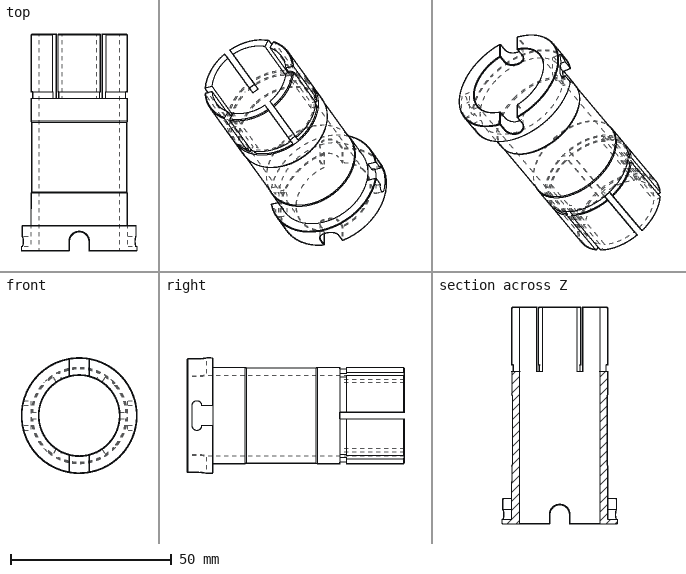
import cadquery as cq

length = 67.5
body_radius = 15.0
bore_radius = 12.5
edge_chamfer = 0.3

flange_radius = 18.0
flange_length = 8.0
flange_chamfer = 0.2

relief_depth = 0.15
relief_start = 18.0
relief_end = 40.45
relief_slope = 0.4

finger_length = 20.0
finger_slot_width = 2.0
finger_slot_angles = (0, 60, 120)
groove_width = 2.0
groove_depth = 0.5

notch_width = 6.0
notch_depth = 6.0

pocket_floor = body_radius
stem_width = 6.2
head_length = 9.2
head_width = 3.0
head_center = 3.0


def sleeve():
    """Revolved body; the front face of the flange is still sharp-edged."""
    finger_root = length - finger_length
    groove_end = finger_root + groove_width
    relief_radius = body_radius - relief_depth
    groove_radius = body_radius - groove_depth
    profile = [
        (bore_radius, 0),
        (flange_radius, 0),
        (flange_radius, flange_length - flange_chamfer),
        (flange_radius - flange_chamfer, flange_length),
        (body_radius, flange_length),
        (body_radius, relief_start),
        (relief_radius, relief_start + relief_slope),
        (relief_radius, relief_end - relief_slope),
        (body_radius, relief_end),
        (body_radius, finger_root),
        (groove_radius, finger_root),
        (groove_radius, groove_end),
        (body_radius, groove_end),
        (body_radius, length - edge_chamfer),
        (body_radius - edge_chamfer, length),
        (bore_radius, length),
    ]
    return cq.Workplane("XY").polyline(profile).close().revolve(360, (0, 0, 0), (0, 1, 0))


def finger_slots():
    """Slots across the full diameter that split the end into six fingers."""
    slots = cq.Workplane("XY")
    for angle in finger_slot_angles:
        slot = (
            cq.Workplane("XY")
            .box(2 * flange_radius, finger_length, finger_slot_width)
            .translate((0, length - finger_length / 2, 0))
            .rotate((0, 0, 0), (0, 1, 0), angle)
        )
        slots = slots.add(slot)
    return slots.combine()


def drive_notches():
    """Round-ended notch running along Z through both sides of the flange."""
    half_width = notch_width / 2
    straight_depth = notch_depth - half_width
    return (
        cq.Workplane("XY")
        .moveTo(-half_width, 0)
        .lineTo(-half_width, straight_depth)
        .threePointArc((0, notch_depth), (half_width, straight_depth))
        .lineTo(half_width, 0)
        .close()
        .extrude(flange_radius, both=True)
    )


def chamfer_flange_face(body):
    """Break the front face edges and the notch rims on the outside and in the bore."""
    margin = flange_chamfer
    notch_zone = cq.selectors.BoxSelector(
        (-notch_width / 2 - margin, -margin, -flange_radius - margin),
        (notch_width / 2 + margin, notch_depth + margin, flange_radius + margin),
    )
    notch_rims = body.edges(notch_zone).edges("not |Z")
    return body.faces("<Y").edges().add(notch_rims).chamfer(flange_chamfer)


def bayonet_pocket(side):
    """T-shaped flat-floored pocket on one side of the rim, open toward the body."""
    depth = flange_radius - pocket_floor
    stem_length = flange_length - head_center
    stem = cq.Workplane("XY").box(depth, stem_length, stem_width)
    stem = stem.translate((0, head_center + stem_length / 2, 0))
    head_straight = head_length - head_width
    head = cq.Workplane("XY").box(depth, head_width, head_straight)
    for end in (-1, 1):
        round_end = cq.Workplane("YZ").circle(head_width / 2).extrude(depth / 2, both=True)
        head = head.union(round_end.translate((0, 0, end * head_straight / 2)))
    pocket = stem.union(head.translate((0, head_center, 0)))
    return pocket.translate((side * (pocket_floor + depth / 2), 0, 0))


result = chamfer_flange_face(sleeve().cut(drive_notches()))
result = result.cut(finger_slots())
for side in (-1, 1):
    result = result.cut(bayonet_pocket(side))